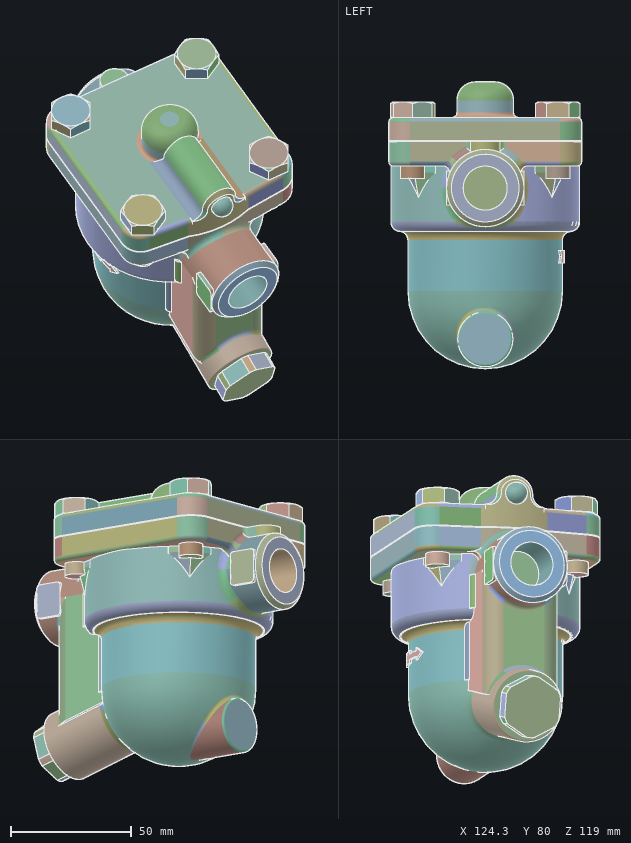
import cadquery as cq
import math


bowl_radius = 32.0
body_radius = 39.1
step_z = 24.8
step_outer_round = 4.0
step_inner_round = 3.6

flange_bottom_z = 52.0
flange_top_z = 62.1
gasket_thickness = 0.4
gasket_radius = 36.6
cover_bottom_z = flange_top_z + gasket_thickness
cover_top_z = 72.2
flange_half = 40.0
flange_left_x = -39.8
flange_corner_x = 38.0
flange_shoulder_x = 40.5
lobe_radius = 43.0
lobe_half_width = math.sqrt(lobe_radius**2 - flange_shoulder_x**2)
lobe_start_x = 31.7
corner_round = 9.0
cover_edge_round = 2.0
flange_edge_round = 1.7

bolt_offset = 30.1
bolt_across_flats = 16.0
bolt_head_height = 6.5
bolt_bevel = 0.7
shank_diameter = 10.0
shank_end_z = 46.8
boss_base_z = 49.3
boss_ridge = 41.7
boss_tip = 39.0
boss_edge = 38.1
boss_root = 34.8
boss_half_width = 9.0
boss_tip_z = 38.9
boss_tip_scale = 0.03

port_diameter = 32.0
port_radius = port_diameter / 2
port_z = 42.9
inlet_x = -55.0
outlet_x = 65.0
port_bevel = 2.0
bore_diameter = 18.3
bore_depth = 19.9
pad_length = 12.2
pad_height = 14.2
pad_corner_round = 1.5
inlet_pad_x = -46.0
outlet_pad_x = 56.2
blend_radius = 3.6
flange_blend = 2.7

tab_width = 12.2
tab_center_x = -46.0
tab_blend = 2.0
tab_bottom_z = port_z + bore_diameter / 2 + 1.2

cap_radius = 11.8
cap_top_z = 87.0
cap_round = 7.8
cap_base_round = 1.9
tube_radius = 7.8
tube_z = 77.0
tube_bevel = 2.0
ball_radius = 4.6
ball_x = 43.4

strainer_tilt = 15.0
strainer_z = -0.4
strainer_diameter = 30.0
strainer_length = 61.1
strainer_edge_round = 0.6
plug_across_flats = 23.5
plug_corner_diameter = 25.5
plug_end = 68.3
rib_end_x = 54.0
rib_round = 7.1
rib_above_axis = 3.2
rib_blend = 3.2
rib_end_blend = 1.9

drain_diameter = 22.9
drain_x = -32.8
drain_z = -19.8
drain_edge_round = 0.9
drain_blend = 1.5

arrow_z = 14.4
arrow_tail_x = -10.2
arrow_shaft_x = -0.5
arrow_head_x = 6.2
arrow_tip_x = 10.4
arrow_half_height = 2.6
arrow_shaft_half = 1.2
arrow_notch = 1.5
arrow_relief = 0.7

overlap = 1.2
seam_tolerance = 0.001


def cylinder_x(diameter, x_start, x_end, z):
    return (
        cq.Workplane("YZ", origin=(x_start, 0, z)).circle(diameter / 2).extrude(x_end - x_start)
    )


def join_with_blend(base, tool, radius):
    """Unite two solids and fillet the seam, i.e. the edges that lie on both skins."""
    joined = base.union(tool)
    base_skin = cq.Compound.makeCompound(base.faces().vals())
    tool_skin = cq.Compound.makeCompound(tool.faces().vals())
    seam = []
    for edge in joined.edges().vals():
        middle = cq.Vertex.makeVertex(*edge.positionAt(0.5).toTuple())
        if base_skin.distance(middle) < seam_tolerance and tool_skin.distance(middle) < seam_tolerance:
            seam.append(edge)
    return joined.newObject(seam).fillet(radius)


def make_bowl():
    bowl_top = flange_bottom_z + overlap
    profile = (
        cq.Workplane("XZ")
        .moveTo(0, -bowl_radius)
        .radiusArc((bowl_radius, 0), -bowl_radius)
        .lineTo(bowl_radius, step_z - step_inner_round)
        .radiusArc((bowl_radius + step_inner_round, step_z), step_inner_round)
        .lineTo(body_radius - step_outer_round, step_z)
        .radiusArc((body_radius, step_z + step_outer_round), -step_outer_round)
        .lineTo(body_radius, bowl_top)
        .lineTo(0, bowl_top)
        .close()
    )
    return profile.revolve(360, (0, 0), (0, 1))


def flange_plate(z_bottom, z_top):
    """Square plate with rounded corners and a round lobe on its +X side."""
    half_sides = (-flange_half, flange_half)
    corner_points = [(x, y) for x in (flange_left_x, flange_corner_x) for y in half_sides]
    plate = (
        cq.Workplane("XY", origin=(0, 0, z_bottom))
        .moveTo(flange_left_x, -flange_half)
        .lineTo(flange_corner_x, -flange_half)
        .lineTo(flange_shoulder_x, -lobe_half_width)
        .threePointArc((lobe_radius, 0), (flange_shoulder_x, lobe_half_width))
        .lineTo(flange_corner_x, flange_half)
        .lineTo(flange_left_x, flange_half)
        .close()
        .extrude(z_top - z_bottom)
    )
    middle_z = (z_bottom + z_top) / 2
    for x, y in corner_points:
        plate = plate.edges(cq.NearestToPointSelector((x, y, middle_z))).fillet(corner_round)
    return plate


def make_flange():
    return flange_plate(flange_bottom_z, flange_top_z).faces("<Z").edges().fillet(flange_edge_round)


def make_cover():
    cover = flange_plate(cover_bottom_z, cover_top_z).faces(">Z").edges().fillet(cover_edge_round)
    gasket = (
        cq.Workplane("XY", origin=(0, 0, flange_top_z)).circle(gasket_radius).extrude(gasket_thickness)
    )
    return cover.union(gasket)


def make_port(end_x):
    port = cylinder_x(port_diameter, 0, end_x, port_z)
    return port.faces(">X" if end_x > 0 else "<X").chamfer(port_bevel)


def make_lobe_and_outlet():
    """Outlet port blended into the lobe of the flange."""
    lobe = (
        cq.Workplane("XY", origin=(0, 0, flange_bottom_z))
        .circle(lobe_radius)
        .extrude(flange_top_z - flange_bottom_z)
    )
    blended = join_with_blend(lobe, make_port(outlet_x), flange_blend)
    keep = (
        cq.Workplane("XY", origin=(lobe_start_x, 0, 0))
        .box(outlet_x, 2 * flange_half, 2 * cover_top_z, centered=(False, True, True))
    )
    return blended.intersect(keep)


def make_pads():
    """Flat wrench pads on both sides of the two ports."""
    pads = (
        cq.Workplane("XZ", origin=(0, 0, port_z))
        .pushPoints([(inlet_pad_x, 0), (outlet_pad_x, 0)])
        .rect(pad_length, pad_height)
        .extrude(port_radius, both=True)
    )
    return pads.edges("|Y").fillet(pad_corner_round)


def make_tab():
    """Round-ended tab on top of the inlet, flaring where it meets the flange."""
    half = tab_width / 2
    flare = half + tab_blend
    return (
        cq.Workplane("XY", origin=(0, 0, tab_bottom_z))
        .moveTo(flange_left_x, flare)
        .radiusArc((flange_left_x - tab_blend, half), tab_blend)
        .lineTo(tab_center_x, half)
        .threePointArc((tab_center_x - half, 0), (tab_center_x, -half))
        .lineTo(flange_left_x - tab_blend, -half)
        .radiusArc((flange_left_x, -flare), tab_blend)
        .close()
        .extrude(flange_top_z - tab_bottom_z)
    )


def make_rib():
    """Outlet and strainer arm with the upright rib, as wide as the outlet, between them."""
    slope = math.tan(math.radians(strainer_tilt))
    bottom_z = strainer_z + rib_above_axis / math.cos(math.radians(strainer_tilt))
    rib = (
        cq.Workplane("XZ")
        .polyline(
            [(0, bottom_z), (0, port_z), (rib_end_x, port_z), (rib_end_x, bottom_z - rib_end_x * slope)]
        )
        .close()
        .extrude(port_radius, both=True)
        .edges("|Z and >X")
        .fillet(rib_round)
    )
    rib = join_with_blend(make_port(outlet_x), rib, rib_end_blend).union(make_strainer())
    foot = (rib_end_x, 0, strainer_z + rib_above_axis)
    rib = rib.edges(cq.NearestToPointSelector(foot)).fillet(rib_end_blend)
    rib = rib.union(rib_flare(bowl_radius, 0, step_z))
    return rib.union(rib_flare(body_radius, step_z + step_outer_round, port_z))


def rib_flare(wall_radius, z_bottom, z_top):
    """Concave corners between the rib sides and a round wall."""
    center_y = port_radius + rib_blend
    center_x = math.sqrt((wall_radius + rib_blend) ** 2 - center_y**2)
    touch = wall_radius / (wall_radius + rib_blend)
    return (
        cq.Workplane("XY", origin=(0, 0, z_bottom))
        .moveTo(0, 0)
        .lineTo(center_x * touch, -center_y * touch)
        .radiusArc((center_x, -port_radius), -rib_blend)
        .lineTo(center_x, port_radius)
        .radiusArc((center_x * touch, center_y * touch), -rib_blend)
        .close()
        .extrude(z_top - z_bottom)
    )


def along_strainer(shape):
    return shape.rotate((0, 0, 0), (0, 1, 0), strainer_tilt).translate((0, 0, strainer_z))


def make_strainer():
    arm = cq.Workplane("YZ").circle(strainer_diameter / 2).extrude(strainer_length)
    return along_strainer(arm.faces(">X").edges().fillet(strainer_edge_round))


def make_plug():
    """Hexagon with its corners turned round."""
    start = cq.Workplane("YZ", origin=(strainer_length - overlap, 0, 0))
    length = plug_end - strainer_length + overlap
    hexagon = start.polygon(6, plug_across_flats, circumscribed=True).extrude(length)
    return along_strainer(hexagon.intersect(start.circle(plug_corner_diameter / 2).extrude(length)))


def make_drain():
    drain = cylinder_x(drain_diameter, drain_x, 0, drain_z)
    return drain.faces("<X").edges().fillet(drain_edge_round)


def make_cap():
    return (
        cq.Workplane("XZ")
        .moveTo(0, cover_top_z - overlap)
        .lineTo(cap_radius + cap_base_round, cover_top_z - overlap)
        .lineTo(cap_radius + cap_base_round, cover_top_z)
        .radiusArc((cap_radius, cover_top_z + cap_base_round), cap_base_round)
        .lineTo(cap_radius, cap_top_z - cap_round)
        .radiusArc((cap_radius - cap_round, cap_top_z), -cap_round)
        .lineTo(0, cap_top_z)
        .close()
        .revolve(360, (0, 0), (0, 1))
    )


def make_tube():
    """Vent tube with a flared foot on the cover and a ball in its end."""
    foot_round = tube_z - cover_top_z
    foot_half = tube_radius + foot_round
    foot_bottom_z = cover_top_z - cover_edge_round
    tube_top = (lobe_radius, 0, tube_z + tube_radius)
    tube = (
        cq.Workplane("YZ")
        .moveTo(-foot_half, foot_bottom_z)
        .lineTo(-foot_half, cover_top_z)
        .radiusArc((-tube_radius, tube_z), -foot_round)
        .threePointArc((0, tube_z + tube_radius), (tube_radius, tube_z))
        .radiusArc((foot_half, cover_top_z), -foot_round)
        .lineTo(foot_half, foot_bottom_z)
        .close()
        .extrude(lobe_radius)
    )
    tube = tube.faces(">X").edges(cq.NearestToPointSelector(tube_top)).chamfer(tube_bevel)
    within_lobe = cq.Workplane("XY").circle(lobe_radius).extrude(cap_top_z)
    ball = cq.Workplane("XY").sphere(ball_radius).translate((ball_x, 0, tube_z))
    return tube.intersect(within_lobe).union(ball)


def make_bolt(x_sign, y_sign):
    """Bolt head with its shank, which ends below the flange."""
    x = x_sign * bolt_offset
    y = y_sign * bolt_offset
    across_corners = bolt_across_flats * 2 / math.sqrt(3)
    head = cq.Workplane("XY").polygon(6, across_corners).extrude(bolt_head_height)
    bevelled = (
        cq.Workplane("XY")
        .circle(across_corners / 2)
        .extrude(bolt_head_height)
        .faces(">Z")
        .chamfer(bolt_bevel, (across_corners - bolt_across_flats) / 2)
    )
    turn = 90 if x_sign * y_sign > 0 else 0
    head = head.intersect(bevelled).rotate((0, 0, 0), (0, 0, 1), turn).translate((x, y, cover_top_z))
    shank = (
        cq.Workplane("XY", origin=(x, y, shank_end_z))
        .circle(shank_diameter / 2)
        .extrude(cover_top_z - shank_end_z)
    )
    return head.union(shank)


def make_boss(angle):
    """Ridged boss under the flange, running down to a point on the body."""
    outline = [
        (boss_ridge, 0), (boss_edge, boss_half_width), (boss_root, 0), (boss_edge, -boss_half_width),
    ]
    tip = [(boss_tip + (x - boss_tip) * boss_tip_scale, y * boss_tip_scale) for x, y in outline]
    base_plane = cq.Workplane("XY", origin=(0, 0, boss_base_z))
    upright_height = flange_bottom_z + flange_edge_round - boss_base_z
    upright = base_plane.polyline(outline).close().extrude(upright_height)
    point = (
        base_plane.polyline(outline).close()
        .workplane(offset=boss_tip_z - boss_base_z)
        .polyline(tip).close()
        .loft(ruled=True)
    )
    return upright.union(point).rotate((0, 0, 0), (0, 0, 1), angle)


def make_arrow():
    """Raised flow arrow with a notched tail on the front of the bowl."""
    upper_side = [
        (arrow_tail_x, arrow_half_height),
        (arrow_shaft_x, arrow_half_height),
        (arrow_shaft_x, arrow_shaft_half),
        (arrow_head_x, arrow_shaft_half),
        (arrow_head_x, arrow_half_height),
    ]
    lower_side = [(x, -z) for x, z in reversed(upper_side)]
    outline = upper_side + [(arrow_tip_x, 0)] + lower_side + [(arrow_tail_x + arrow_notch, 0)]
    raised_radius = bowl_radius + arrow_relief
    arrow = (
        cq.Workplane("XZ", origin=(0, 0, arrow_z))
        .polyline(outline)
        .close()
        .extrude(raised_radius + overlap)
    )
    raised_wall = cq.Workplane("XY").circle(raised_radius).extrude(step_z)
    return arrow.intersect(raised_wall)


inlet_side = join_with_blend(make_bowl(), make_port(inlet_x), blend_radius)
inlet_side = join_with_blend(inlet_side, make_drain(), drain_blend)
outlet_side = join_with_blend(make_bowl(), make_port(outlet_x), blend_radius)
outlet_side = join_with_blend(outlet_side, make_strainer(), blend_radius)
flange = join_with_blend(make_flange(), make_port(inlet_x), flange_blend)

result = inlet_side.union(outlet_side).union(make_rib()).union(flange)

parts = [
    make_lobe_and_outlet(), make_pads(), make_tab(), make_plug(),
    make_cover(), make_cap(), make_tube(), make_arrow(),
]
for part in parts:
    result = result.union(part)
for x_sign in (-1, 1):
    for y_sign in (-1, 1):
        result = result.union(make_bolt(x_sign, y_sign))
for corner in range(4):
    result = result.union(make_boss(45 + 90 * corner))

result = result.cut(cylinder_x(bore_diameter, inlet_x, inlet_x + bore_depth, port_z))
result = result.cut(cylinder_x(bore_diameter, outlet_x - bore_depth, outlet_x, port_z))